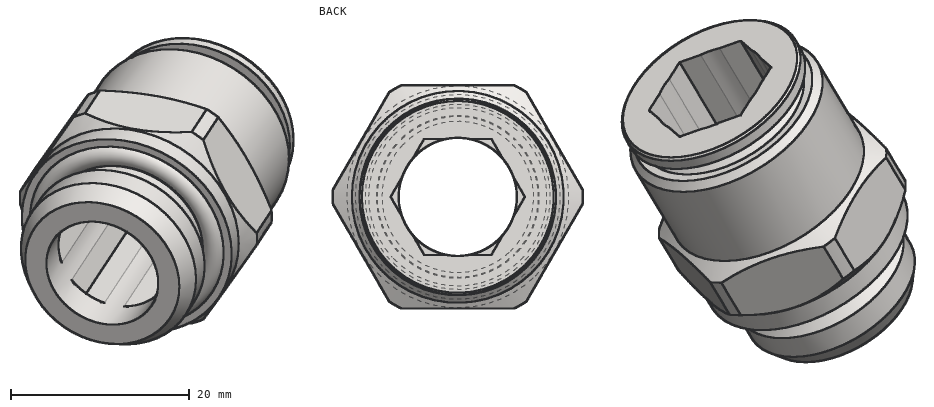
import cadquery as cq
import math

length = 34.5
bore_radius = 13.2 / 2

tip_radius = 9.1
thread_radius = 20.7 / 2
thread_neck_radius = 18.0 / 2
tip_chamfer_end = 2.15
thread_end = 5.15
thread_neck_start = 6.4
ring_height = 0.9
ring_outer_radius = 11.45
flange_radius = 24.8 / 2
flange_start = 8.52

hex_across_flats = 25.0
hex_corner_radius = 28.0 / 2
hex_start = 10.97
hex_end = 19.05
front_corner_depth = 1.6
rear_corner_depth = 1.28

sleeve_radius = 23.7 / 2
sleeve_end = 30.98
sleeve_chamfer = 0.85
cone_base_radius = 9.97
cone_end = 31.95

collar_neck_radius = 16.95 / 2
collar_radius = 22.0 / 2
collar_start = 32.9
collar_chamfer = 0.28

socket_across_flats = 13.0
socket_start = 4.2


def revolve_profile(points):
    """Revolve a closed (radius, y) outline about the Y axis."""
    axis_start = (0, 0, 0)
    axis_end = (0, 1, 0)
    return cq.Workplane("XY").polyline(points).close().revolve(360, axis_start, axis_end)


def hex_prism(across_flats, start, end):
    """Hexagonal prism along Y with two corners on the X axis."""
    across_corners = across_flats / math.cos(math.pi / 6)
    plane = cq.Workplane("XZ", origin=(0, start, 0))
    return plane.polygon(6, across_corners).extrude(start - end)


def turned_body():
    return revolve_profile([
        (0, 0),
        (tip_radius, 0),
        (thread_radius, tip_chamfer_end),
        (thread_radius, thread_end),
        (thread_neck_radius, thread_neck_start),
        (thread_neck_radius, flange_start),
        (flange_radius, flange_start),
        (flange_radius, hex_start),
        (sleeve_radius, hex_end),
        (sleeve_radius, sleeve_end - sleeve_chamfer),
        (sleeve_radius - sleeve_chamfer, sleeve_end),
        (cone_base_radius, sleeve_end),
        (collar_neck_radius, cone_end),
        (collar_neck_radius, collar_start),
        (collar_radius, collar_start),
        (collar_radius, length - collar_chamfer),
        (collar_radius - collar_chamfer, length),
        (0, length),
    ])


def chamfered_hexagon():
    envelope = revolve_profile([
        (0, hex_start),
        (flange_radius, hex_start),
        (hex_corner_radius, hex_start + front_corner_depth),
        (hex_corner_radius, hex_end - rear_corner_depth),
        (sleeve_radius, hex_end),
        (0, hex_end),
    ])
    return hex_prism(hex_across_flats, hex_start, hex_end).intersect(envelope)


def sealing_ring():
    """Rounded ring between the thread neck and the flange, with its root in the flange."""
    inner_radius = thread_neck_radius
    center_radius = (inner_radius + ring_outer_radius) / 2
    ring_front = flange_start - ring_height
    ring_root = (flange_start + hex_start) / 2
    return (
        cq.Workplane("XY")
        .moveTo(inner_radius, flange_start)
        .threePointArc((center_radius, ring_front), (ring_outer_radius, flange_start))
        .lineTo(ring_outer_radius, ring_root)
        .lineTo(inner_radius, ring_root)
        .close()
        .revolve(360, (0, 0, 0), (0, 1, 0))
    )


bore = cq.Workplane("XZ").circle(bore_radius).extrude(-length)
key_socket = hex_prism(socket_across_flats, socket_start, length)

body = turned_body().union(chamfered_hexagon()).union(sealing_ring())
result = body.cut(bore).cut(key_socket)